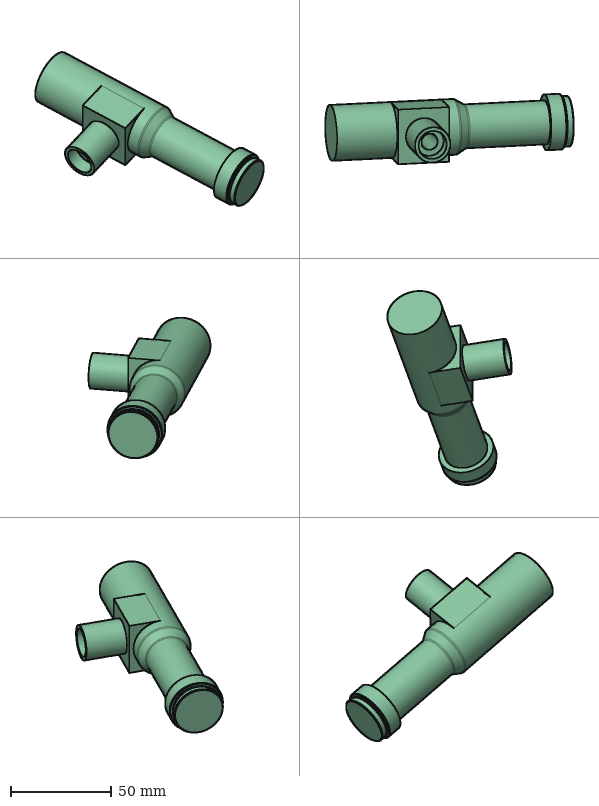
import cadquery as cq

length = 121.2
body_diameter = 28.0
body_radius = body_diameter / 2
tube_radius = 22.0 / 2
taper_start = 63.0
taper_end = 68.0
taper_blend = 1.5

collar_start = 109.3
collar_end = 117.2
collar_edge_chamfer = 0.4
ring_radius = 25.5 / 2
neck_radius = 12.4
neck_end = 117.9
ring_edge_chamfer = 0.4

block_start = 30.7
block_width = 26.0
block_reach = 16.1
branch_x = block_start + block_width / 2
branch_radius = 18.0 / 2
branch_reach = 51.1 - body_radius
socket_radius = 14.3 / 2
socket_depth = 7.3
bore_radius = 8.2 / 2


def cylinder_x(start, end, radius):
    return cq.Workplane("YZ", origin=(start, 0, 0)).circle(radius).extrude(end - start)


def branch_cylinder(outer_reach, inner_reach, radius):
    plane = cq.Workplane("XZ", origin=(branch_x, -outer_reach, 0))
    return plane.circle(radius).extrude(inner_reach - outer_reach)


def make_body():
    """Closed cylinder reduced to the tube through a cone with blended edges."""
    profile = (
        cq.Workplane("XY")
        .lineTo(0, body_radius)
        .lineTo(taper_start, body_radius)
        .lineTo(taper_end, tube_radius)
        .lineTo(collar_start, tube_radius)
        .lineTo(collar_start, 0)
        .close()
    )
    body = profile.revolve(360, (0, 0, 0), (1, 0, 0))
    taper_edges = cq.selectors.BoxSelector(
        (taper_start - taper_blend, -body_diameter, -body_diameter),
        (taper_end + taper_blend, body_diameter, body_diameter),
    )
    return body.edges("%CIRCLE").edges(taper_edges).fillet(taper_blend)


def make_end():
    """Collar, shallow neck and end ring closing the tube."""
    collar = cylinder_x(collar_start, collar_end, body_radius)
    collar = collar.faces(">X").edges().chamfer(collar_edge_chamfer)
    neck = cylinder_x(collar_end, neck_end, neck_radius)
    ring = cylinder_x(neck_end, length, ring_radius)
    ring = ring.faces(">X").edges().chamfer(ring_edge_chamfer)
    return collar.union(neck).union(ring)


def make_block():
    """Block from the body axis to its flat face, as tall as the body."""
    return cq.Workplane("XY").box(
        block_width, block_reach, body_diameter, centered=(False, False, True)
    ).translate((block_start, -block_reach, 0))


branch = branch_cylinder(branch_reach, 0, branch_radius)
socket = branch_cylinder(branch_reach, branch_reach - socket_depth, socket_radius)
bore = branch_cylinder(branch_reach, 0, bore_radius)

result = make_body().union(make_end()).union(make_block()).union(branch).cut(socket).cut(bore)